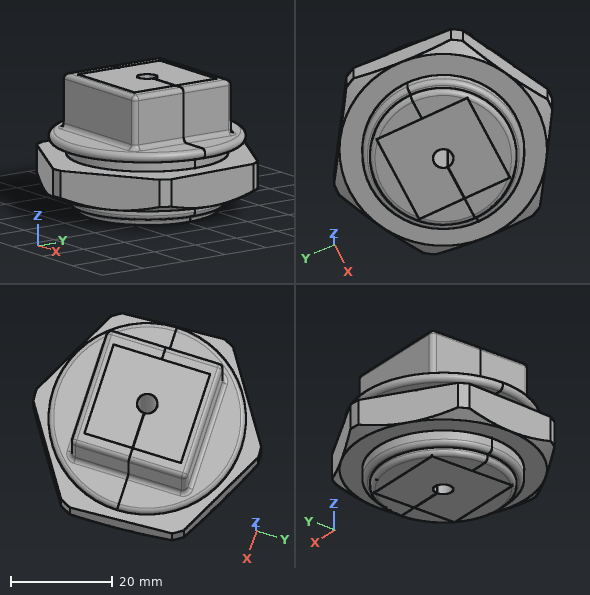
import cadquery as cq
import math


edge_radius = 1.0

lip_height = 1.5
flange_top = 16.0
flange_thickness = 2 * edge_radius
flange_bottom = flange_top - flange_thickness
overall_height = 27.0

lip_radius = 14.5
shank_radius = 16.0
flange_radius = 19.5
block_width_x = 24.5
block_width_y = 24.0
foot_margin = 0.25

insert_width_x = 19.0
insert_width_y = 20.0
cable_hole_diameter = 4.0
slit_width = 0.1

nut_bottom = 4.5
nut_height = 7.0
nut_across_flats = 41.0
nut_corner_radius = 23.0
nut_flat_angle = 3
nut_chamfer_angle = 30


def disc(radius, bottom, top):
    """Upright cylinder on the cable axis."""
    return cq.Workplane("XY").workplane(offset=bottom).circle(radius).extrude(top - bottom)


def make_flange():
    """Disc with a fully rounded rim."""
    rim_centre_radius = flange_radius - edge_radius
    return (
        cq.Workplane("XZ")
        .moveTo(0, flange_bottom)
        .lineTo(rim_centre_radius, flange_bottom)
        .threePointArc((flange_radius, flange_bottom + edge_radius), (rim_centre_radius, flange_top))
        .lineTo(0, flange_top)
        .close()
        .revolve(360, (0, 0, 0), (0, 1, 0))
    )


def make_block():
    """Rectangular block on the flange, with rounded corners and top edges."""
    return (
        cq.Workplane("XY")
        .workplane(offset=flange_top)
        .rect(block_width_x, block_width_y)
        .extrude(overall_height - flange_top)
        .edges("|Z")
        .fillet(edge_radius)
        .faces(">Z")
        .edges()
        .fillet(edge_radius)
    )


def make_insert_envelope():
    """Square prism that fills the pocket through the housing."""
    return cq.Workplane("XY").rect(insert_width_x, insert_width_y).extrude(overall_height)


def make_housing():
    """Both halves in one piece, with the pocket for the insert."""
    lip = disc(lip_radius, 0, lip_height).faces("<Z").edges().fillet(edge_radius)
    shank = disc(shank_radius, lip_height, flange_bottom).faces("<Z").edges().fillet(edge_radius)
    housing = lip.union(shank).union(make_flange()).union(make_block())

    foot_edges = cq.selectors.BoxSelector(
        (-block_width_x / 2 - foot_margin, -block_width_y / 2 - foot_margin, flange_top - foot_margin),
        (block_width_x / 2 + foot_margin, block_width_y / 2 + foot_margin, flange_top + foot_margin),
        boundingbox=True,
    )
    housing = housing.edges(foot_edges).fillet(edge_radius)
    return housing.cut(make_insert_envelope())


def make_housing_half(housing, side):
    """Half of the housing on the +Y side (side = 1) or the -Y side (side = -1)."""
    half_space = (
        cq.Workplane("XY")
        .center(0, side * flange_radius / 2)
        .rect(2 * flange_radius, flange_radius)
        .extrude(overall_height)
    )
    return housing.intersect(half_space)


def make_insert():
    """Square insert with a cable hole and a slit from the hole to the +X face."""
    cable_hole = disc(cable_hole_diameter / 2, 0, overall_height)
    slit_length = insert_width_x / 2
    slit = (
        cq.Workplane("XY")
        .center(slit_length / 2, 0)
        .rect(slit_length, slit_width)
        .extrude(overall_height)
    )
    return make_insert_envelope().cut(cable_hole).cut(slit)


def make_nut():
    """Hexagon with round corners, coned at the bottom so the cone meets the flats' mid-points."""
    hexagon = (
        cq.Workplane("XY")
        .workplane(offset=nut_bottom)
        .polygon(6, nut_across_flats, circumscribed=True)
        .extrude(nut_height)
        .rotate((0, 0, 0), (0, 0, 1), nut_flat_angle)
    )
    flat_distance = nut_across_flats / 2
    nut_top = nut_bottom + nut_height
    chamfer_height = (nut_corner_radius - flat_distance) * math.tan(math.radians(nut_chamfer_angle))
    turned_blank = (
        cq.Workplane("XZ")
        .moveTo(0, nut_bottom)
        .lineTo(flat_distance, nut_bottom)
        .lineTo(nut_corner_radius, nut_bottom + chamfer_height)
        .lineTo(nut_corner_radius, nut_top)
        .lineTo(0, nut_top)
        .close()
        .revolve(360, (0, 0, 0), (0, 1, 0))
    )
    return hexagon.intersect(turned_blank).cut(disc(shank_radius, nut_bottom, nut_top))


housing = make_housing()
housing_halves = [make_housing_half(housing, side).val() for side in (1, -1)]
insert = make_insert()
nut = make_nut()

result = cq.Compound.makeCompound([*housing_halves, insert.val(), nut.val()])